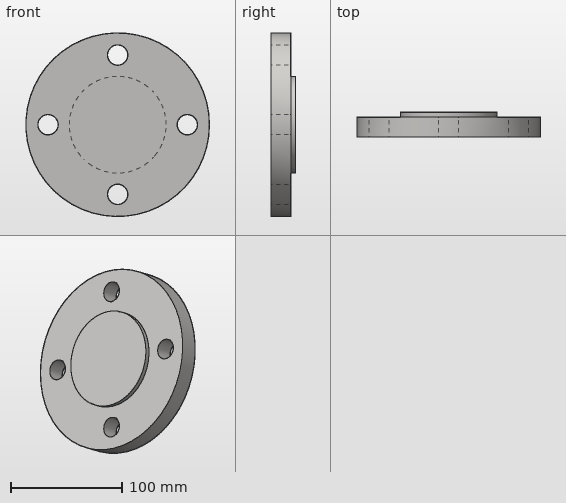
import cadquery as cq

flange_diameter = 165.0
total_thickness = 22.5
raised_face_diameter = 87.0
raised_face_height = 4.5
flange_thickness = total_thickness - raised_face_height

bolt_circle_diameter = 125.0
bolt_hole_diameter = 18.0
bolt_hole_count = 4


def disc(diameter, start_y, thickness):
    """Solid disc about the Y axis, growing from start_y toward +Y."""
    plane = cq.Workplane("XZ", origin=(0, start_y, 0))
    return plane.circle(diameter / 2).extrude(-thickness)


def bolt_holes():
    """Cylinders that cut the bolt holes through the flange."""
    return (
        cq.Workplane("XZ")
        .polarArray(bolt_circle_diameter / 2, 0, 360, bolt_hole_count)
        .circle(bolt_hole_diameter / 2)
        .extrude(-flange_thickness)
    )


flange = disc(flange_diameter, 0, flange_thickness)
raised_face = disc(raised_face_diameter, flange_thickness, raised_face_height)

result = flange.union(raised_face).cut(bolt_holes())